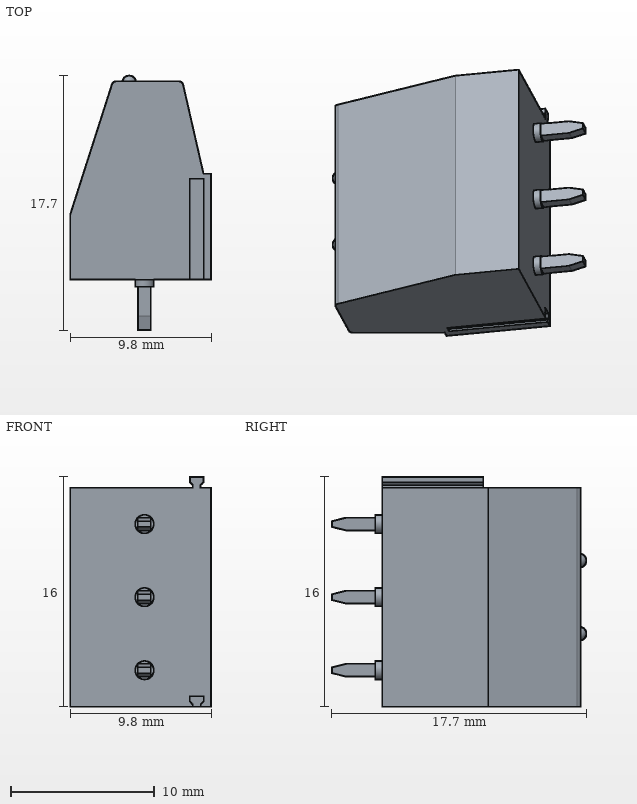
import cadquery as cq

pole_count = 3
pitch = 5.08
housing_width = 9.8
housing_depth = 13.8
housing_height = pole_count * pitch

left_wall_depth = 4.53
crown_left = 2.97
crown_right = 7.8
crown_radius = 0.35
ledge_depth = 7.38
ledge_width = 0.53
ledge_x = housing_width - ledge_width

rail_width = 0.95
rail_neck_width = 0.55
rail_neck_height = 0.16
rail_flare_height = 0.37
rail_height = 0.75
rail_length = 7.03
rail_x = ledge_x - rail_width / 2

pin_x = 5.17
collar_diameter = 1.3
collar_length = 0.5
pin_thickness = 0.9
pin_tip_thickness = 0.4
pin_length = 3.5
pin_taper_length = 1.0

knob_x = 4.1
knob_diameter = 0.97
knob_height = 0.39


def make_housing():
    outline = (
        cq.Workplane("XY")
        .moveTo(0, 0)
        .lineTo(housing_width, 0)
        .lineTo(housing_width, ledge_depth)
        .lineTo(ledge_x, ledge_depth)
        .lineTo(crown_right, housing_depth)
        .lineTo(crown_left, housing_depth)
        .lineTo(0, left_wall_depth)
        .close()
    )
    housing = outline.extrude(housing_height)
    crown_edges = housing.faces(">Y").edges("|Z")
    return crown_edges.fillet(crown_radius)


def make_rail(base_z):
    """Dovetail bar whose neck starts at base_z and which runs from Y = 0."""
    half_neck = rail_neck_width / 2
    half_width = rail_width / 2
    profile = [
        (-half_neck, 0),
        (-half_neck, rail_neck_height),
        (-half_width, rail_flare_height),
        (-half_width, rail_height),
        (half_width, rail_height),
        (half_width, rail_flare_height),
        (half_neck, rail_neck_height),
        (half_neck, 0),
    ]
    return (
        cq.Workplane("XZ", origin=(rail_x, 0, base_z))
        .polyline(profile)
        .close()
        .extrude(-rail_length)
    )


def make_pin(z):
    """Round collar and square blade, tapered in height towards the tip."""
    collar = (
        cq.Workplane("XZ", origin=(pin_x, 0, z))
        .circle(collar_diameter / 2)
        .extrude(collar_length)
    )
    half_thickness = pin_thickness / 2
    half_tip = pin_tip_thickness / 2
    taper_start = pin_taper_length - pin_length
    blade_profile = [
        (0, -half_thickness),
        (taper_start, -half_thickness),
        (-pin_length, -half_tip),
        (-pin_length, half_tip),
        (taper_start, half_thickness),
        (0, half_thickness),
    ]
    blade = (
        cq.Workplane("YZ", origin=(pin_x, 0, z))
        .polyline(blade_profile)
        .close()
        .extrude(half_thickness, both=True)
    )
    return collar.union(blade)


def make_knob(z):
    """Ball sunk into the crown so that only a cap of knob_height stands out."""
    knob_radius = knob_diameter / 2
    centre_y = housing_depth + knob_height - knob_radius
    return cq.Workplane("XY", origin=(knob_x, centre_y, z)).sphere(knob_radius)


result = make_housing()
result = result.cut(make_rail(0))
result = result.union(make_rail(housing_height))

for pole in range(pole_count):
    result = result.union(make_pin((pole + 0.5) * pitch))

for joint in range(1, pole_count):
    result = result.union(make_knob(joint * pitch))